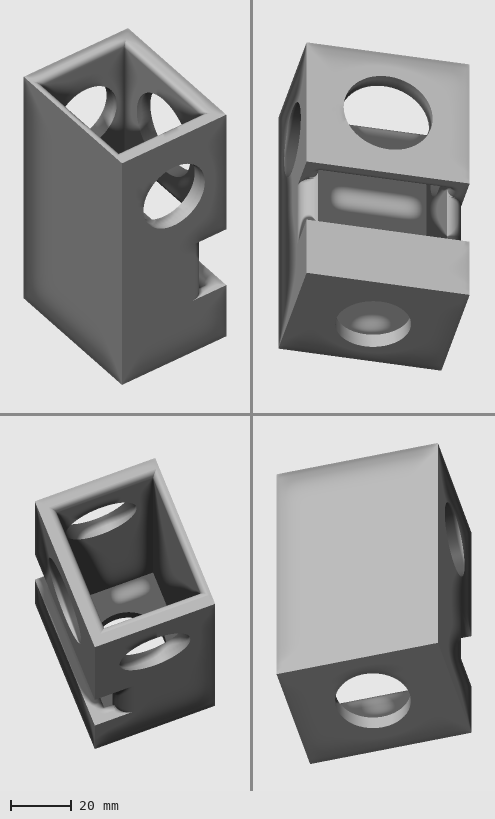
import cadquery as cq

width = 55.0
depth = 42.5
height = 95.0

side_wall = 5.7
back_wall = 5.5
front_wall = 2.9
floor_thickness = 5.0
top_rim_radius = 2.0

port_diameter = 25.0
back_port_diameter = 30.0
port_center_z = 70.5

notch_bottom = 21.9
notch_height = 23.9
notch_depth = 13.8
notch_rim_radius = 3.0
wall_end_radius = 5.3

cavity_width = width - 2 * side_wall
cavity_depth = depth - front_wall - back_wall
cavity_center_y = front_wall + cavity_depth / 2
cavity_back_y = depth - back_wall
notch_center_z = notch_bottom + notch_height / 2
notch_front_y = depth - notch_depth
wall_end_y = notch_front_y + wall_end_radius


def block(size_x, size_y, size_z, y_min, z_min):
    """Box centred on X, starting at the given Y and Z."""
    box = cq.Workplane("XY").box(size_x, size_y, size_z, centered=(True, False, False))
    return box.translate((0, y_min, z_min))


def round_top_rim(base):
    """Round the edges between the cavity walls and the top face."""
    cavity_zone = cq.selectors.BoxSelector(
        (-cavity_width / 2 - top_rim_radius, front_wall - top_rim_radius, 0),
        (cavity_width / 2 + top_rim_radius, cavity_back_y + top_rim_radius, 2 * height),
    )
    return base.faces(">Z").edges(cavity_zone).fillet(top_rim_radius)


def notch_cutter():
    """Prism across the width that deepens at both sides so that the side walls end in a rounding."""
    half = width / 2
    arc_start = half - wall_end_radius
    profile = (
        cq.Workplane("XY", origin=(0, 0, notch_bottom))
        .moveTo(-half, depth)
        .lineTo(-half, notch_front_y)
        .radiusArc((-arc_start, wall_end_y), wall_end_radius)
        .lineTo(arc_start, wall_end_y)
        .radiusArc((half, notch_front_y), wall_end_radius)
        .lineTo(half, depth)
        .close()
    )
    return profile.extrude(notch_height)


def flare_profile(plane, origin, side):
    """Flare section at the notch floor, widening from the cavity wall towards the given side (+1 or -1)."""
    radius = notch_rim_radius
    return (
        cq.Workplane(plane, origin=origin)
        .moveTo(0, 0)
        .lineTo(side * radius, 0)
        .radiusArc((0, -radius), side * -radius)
        .close()
    )


def notch_floor_flare():
    """Rounding of the cavity edges in the notch floor; it turns around the cavity corners."""
    corner_x = cavity_width / 2
    run_y = cavity_back_y - wall_end_y
    flare = flare_profile("YZ", (-corner_x, cavity_back_y, notch_bottom), 1).extrude(cavity_width)
    for side in (-1, 1):
        corner = (side * corner_x, cavity_back_y, notch_bottom)
        straight = flare_profile("XZ", corner, side).extrude(run_y)
        turn = flare_profile("XZ", corner, side).revolve(90, (0, 0, 0), (0, side, 0))
        flare = flare.union(straight).union(turn)
    return flare


floor_flare = notch_floor_flare()
ceiling_flare = floor_flare.mirror("XY", (0, 0, notch_center_z))

side_ports = (
    cq.Workplane("YZ", origin=(-width / 2, depth / 2, port_center_z)).circle(port_diameter / 2).extrude(width)
)
back_port = (
    cq.Workplane("XZ", origin=(0, cavity_back_y, port_center_z))
    .circle(back_port_diameter / 2)
    .extrude(-back_wall)
)
floor_port = cq.Workplane("XY").center(0, cavity_center_y).circle(port_diameter / 2).extrude(floor_thickness)

body = block(width, depth, height, 0, 0)
body = body.cut(block(cavity_width, cavity_depth, height, front_wall, floor_thickness))
body = round_top_rim(body)
body = body.cut(notch_cutter()).cut(floor_flare).cut(ceiling_flare)
result = body.cut(side_ports).cut(back_port).cut(floor_port).solids()